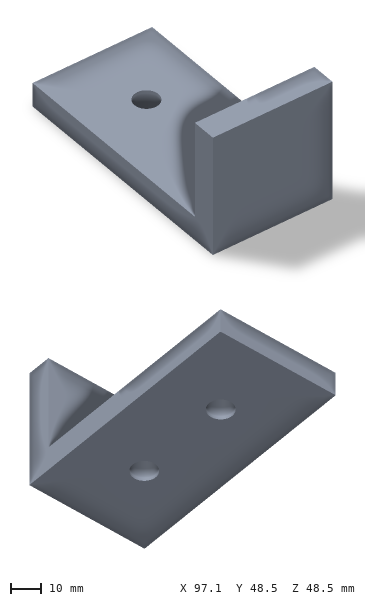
import cadquery as cq

length = 97.1
width = 48.5
height = 48.5
thickness = 9.7

hole_diameter = 9.7
hole_spacing = 38.8
first_hole_x = 29.1


def make_base():
    """Flat base plate with one corner at the origin."""
    return cq.Workplane("XY").box(length, width, thickness, centered=False)


def make_wall():
    """Upright wall standing on the +X end of the base."""
    wall = cq.Workplane("XY").box(thickness, width, height - thickness, centered=False)
    return wall.translate((length - thickness, 0, thickness))


def make_holes():
    """Two vertical cylinders on the centre line of the base."""
    centres = [(first_hole_x + i * hole_spacing, width / 2) for i in range(2)]
    return cq.Workplane("XY").pushPoints(centres).circle(hole_diameter / 2).extrude(thickness)


result = make_base().union(make_wall()).cut(make_holes())